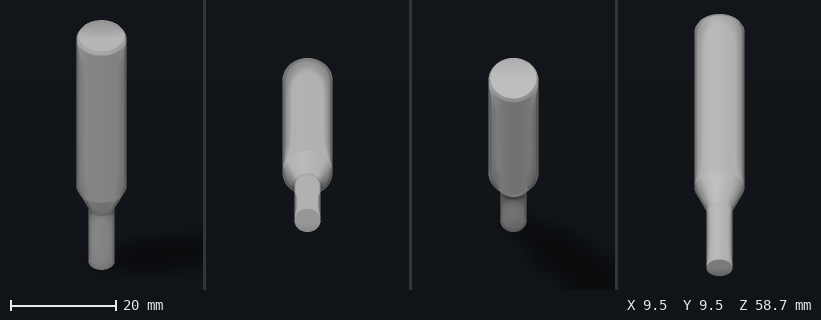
import cadquery as cq

total_length = 58.7
shank_diameter = 9.5
tip_diameter = 5.0

tip_length = 12.6
cone_bottom = 14.2
cone_top = 19.6

chamfer_height = 0.75
chamfer_width = 0.4

shank_radius = shank_diameter / 2
tip_radius = tip_diameter / 2


def make_shank():
    """Round shank with a chamfered top, a tapered lower end and a short neck as wide as the tip."""
    half_profile = (
        cq.Workplane("XZ")
        .moveTo(0, tip_length)
        .lineTo(tip_radius, tip_length)
        .lineTo(tip_radius, cone_bottom)
        .lineTo(shank_radius, cone_top)
        .lineTo(shank_radius, total_length - chamfer_height)
        .lineTo(shank_radius - chamfer_width, total_length)
        .lineTo(0, total_length)
        .close()
    )
    return half_profile.revolve(360, (0, 0, 0), (0, 1, 0))


def make_tip():
    """Plain cylindrical tip that butts against the flat end of the neck."""
    return cq.Workplane("XY").circle(tip_radius).extrude(tip_length)


shank = make_shank()
tip = make_tip()

result = cq.Compound.makeCompound([shank.val(), tip.val()])